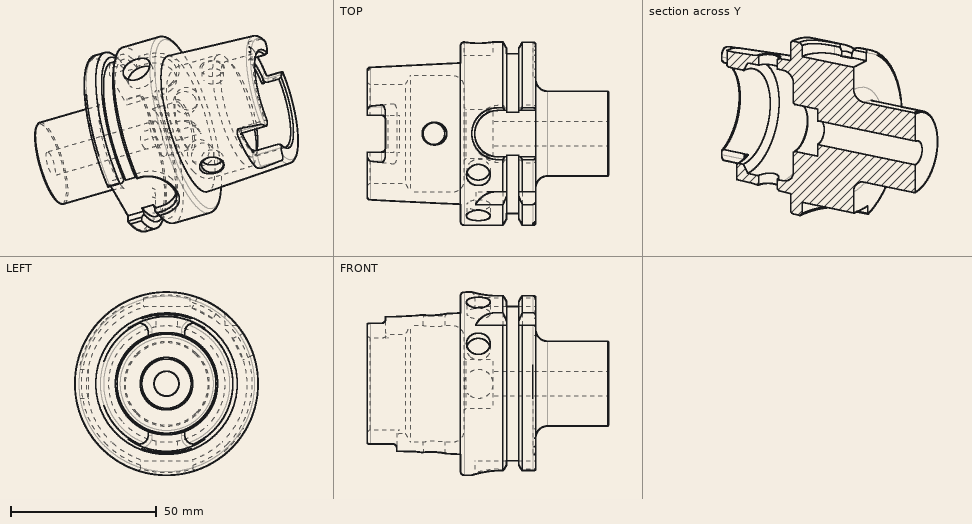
import cadquery as cq
import math

total_length = 83.0
flange_radius = 63.0 / 2
flange_start = 32.0
flange_end = 57.9
flange_front_round = 1.3
flange_rear_round = 1.0

taper_nose_radius = 22.75
taper_root_radius = 24.3
taper_nose_round = 1.2

shank_radius = 14.6
shank_root_fillet = 4.0
shank_chamfer = 0.4

groove_radius = 27.55
groove_start = 47.9
groove_end = 52.0
groove_flank_width = 1.25
groove_flank_angle = 60.0

bore_radius = 17.0
bore_chamfer_height = 0.6
bore_chamfer_length = 0.8
clamp_edge_depth = 13.0
clamp_face_angle = 30.0
undercut_radius = 20.0
cavity_floor = 33.2
cavity_floor_fillet = 4.0
coolant_bore_radius = 8.5
coolant_bore_depth = 10.0
coolant_bore_chamfer = 0.6
through_hole_radius = 4.2

drive_slot_width = 12.6
drive_slot_round = 3.0
drive_slot_shoulder = 20.75
drive_slot_floor_fillet = 1.3
upper_drive_slot_depth = 6.2
lower_drive_slot_depth = 10.1

access_hole_position = 22.9
access_hole_radius = 3.7
access_hole_chamfer = 0.5

keyway_start = 36.9
keyway_floor = 26.6
keyway_chamfer = 1.0
upper_keyway_width = 15.9
lower_keyway_width = 17.9

notch_offset = 20.0
notch_straight_start = 44.0
notch_end_radius = 7.5

flange_hole_position = 38.2
pin_hole_radius = 4.1
pin_hole_floor_radius = 27.1
pin_hole_angles = (26.0, 63.0)
chip_pocket_radius = 5.0
chip_pocket_depth = 4.6

overshoot = 4.15


def revolve_about_x(profile):
    return profile.close().revolve(360, (0, 0, 0), (1, 0, 0))


def cylinder_along_x(start, end, radius):
    return cq.Workplane("YZ", origin=(start, 0, 0)).circle(radius).extrude(end - start)


def turned_taper():
    taper = revolve_about_x(
        cq.Workplane("XY")
        .lineTo(0, taper_nose_radius)
        .lineTo(flange_start, taper_root_radius)
        .lineTo(flange_start, 0)
    )
    return taper.faces("<X").edges().fillet(taper_nose_round)


def turned_flange():
    blank = cylinder_along_x(flange_start, flange_end, flange_radius)
    blank = blank.faces("<X").edges().fillet(flange_front_round)
    return blank.faces(">X").edges().fillet(flange_rear_round)


def turned_shank():
    shank = cylinder_along_x(flange_start, total_length, shank_radius)
    shank = shank.faces(">X").edges().chamfer(shank_chamfer)
    root = revolve_about_x(
        cq.Workplane("XY")
        .moveTo(flange_end, 0)
        .lineTo(flange_end, shank_radius + shank_root_fillet)
        .radiusArc((flange_end + shank_root_fillet, shank_radius), -shank_root_fillet)
        .lineTo(flange_end + shank_root_fillet, 0)
    )
    return shank.union(root)


def gripper_groove():
    flank_slope = math.tan(math.radians(groove_flank_angle))
    mouth_radius = flange_radius + overshoot
    flank_foot_radius = flange_radius - groove_flank_width * flank_slope
    flank_reach = (mouth_radius - flank_foot_radius) / flank_slope
    return revolve_about_x(
        cq.Workplane("XY")
        .moveTo(groove_start, groove_radius)
        .lineTo(groove_start, flank_foot_radius)
        .lineTo(groove_start - flank_reach, mouth_radius)
        .lineTo(groove_end + flank_reach, mouth_radius)
        .lineTo(groove_end, flank_foot_radius)
        .lineTo(groove_end, groove_radius)
    )


def clamping_cavity():
    clamp_face_length = (undercut_radius - bore_radius) * math.tan(math.radians(clamp_face_angle))
    cavity = revolve_about_x(
        cq.Workplane("XY")
        .lineTo(0, bore_radius + bore_chamfer_height)
        .lineTo(bore_chamfer_length, bore_radius)
        .lineTo(clamp_edge_depth, bore_radius)
        .lineTo(clamp_edge_depth + clamp_face_length, undercut_radius)
        .lineTo(cavity_floor, undercut_radius)
        .lineTo(cavity_floor, 0)
    )
    return cavity.faces(">X").edges().fillet(cavity_floor_fillet)


def coolant_bore():
    bore = revolve_about_x(
        cq.Workplane("XY")
        .moveTo(cavity_floor, 0)
        .lineTo(cavity_floor, coolant_bore_radius + coolant_bore_chamfer)
        .lineTo(cavity_floor + coolant_bore_chamfer, coolant_bore_radius)
        .lineTo(cavity_floor + coolant_bore_depth, coolant_bore_radius)
        .lineTo(cavity_floor + coolant_bore_depth, 0)
    )
    return bore.union(cylinder_along_x(cavity_floor, total_length, through_hole_radius))


def drive_slot(depth):
    """Slot with walls rounded out to flat shoulders and a chamfer where its floor meets the bore."""
    half_width = drive_slot_width / 2
    shoulder_edge = half_width + drive_slot_round
    round_start = drive_slot_shoulder - drive_slot_round
    side = shoulder_edge + overshoot
    bottom = bore_radius / 2
    top = taper_root_radius + overshoot
    slot = (
        cq.Workplane("YZ", origin=(-overshoot, 0, 0))
        .moveTo(-half_width, bottom)
        .lineTo(-half_width, round_start)
        .radiusArc((-shoulder_edge, drive_slot_shoulder), -drive_slot_round)
        .lineTo(-side, drive_slot_shoulder)
        .lineTo(-side, top)
        .lineTo(side, top)
        .lineTo(side, drive_slot_shoulder)
        .lineTo(shoulder_edge, drive_slot_shoulder)
        .radiusArc((half_width, round_start), -drive_slot_round)
        .lineTo(half_width, bottom)
        .close()
        .extrude(depth + overshoot)
    )
    slot = slot.faces(">X").edges("not(<Z or >Z or <Y or >Y)").fillet(drive_slot_floor_fillet)
    floor_chamfer = revolve_about_x(
        cq.Workplane("XY")
        .moveTo(depth, 0)
        .lineTo(depth, bore_radius + bore_chamfer_height)
        .lineTo(depth + bore_chamfer_length, bore_radius)
        .lineTo(depth + bore_chamfer_length, 0)
    )
    slot_span = cq.Workplane("XY").box(
        total_length, drive_slot_width, flange_radius, centered=(True, True, False)
    )
    return slot.union(floor_chamfer.intersect(slot_span))


def turned_half_way_round(shape):
    return shape.rotate((0, 0, 0), (1, 0, 0), 180)


def access_hole():
    taper_slope = (taper_root_radius - taper_nose_radius) / flange_start
    surface_height = taper_nose_radius + taper_slope * access_hole_position
    mouth_radius = access_hole_radius + access_hole_chamfer + overshoot
    half_hole = (
        cq.Workplane("XZ", origin=(access_hole_position, 0, 0))
        .lineTo(access_hole_radius, 0)
        .lineTo(access_hole_radius, surface_height - access_hole_chamfer)
        .lineTo(mouth_radius, surface_height + overshoot)
        .lineTo(0, surface_height + overshoot)
        .close()
        .revolve(360, (0, 0, 0), (0, 1, 0))
    )
    return half_hole.union(turned_half_way_round(half_hole))


def keyway(width):
    """Round-ended keyway above the floor plane; its end is tangent to the start position."""
    half_width = width / 2
    end_center = keyway_start + half_width
    far_end = flange_end + 2 * overshoot
    return (
        cq.Workplane("XY", origin=(0, 0, keyway_floor))
        .moveTo(far_end, half_width)
        .lineTo(end_center, half_width)
        .threePointArc((keyway_start, 0), (end_center, -half_width))
        .lineTo(far_end, -half_width)
        .close()
        .extrude(flange_radius)
    )


def keyed_flange_envelope():
    """Cylinder that bounds the flange, with the upper and lower keyways cut and their rims chamfered."""
    envelope = cylinder_along_x(flange_start, flange_end + overshoot, flange_radius)
    envelope = envelope.cut(keyway(upper_keyway_width))
    envelope = envelope.cut(turned_half_way_round(keyway(lower_keyway_width)))
    rim_height = (keyway_floor + flange_radius) / 2
    upper_rim = cq.selectors.BoxSelector(
        (0, -flange_radius, rim_height), (total_length, flange_radius, flange_radius)
    )
    lower_rim = cq.selectors.BoxSelector(
        (0, -flange_radius, -rim_height), (total_length, flange_radius, -flange_radius)
    )
    return envelope.edges(upper_rim + lower_rim).chamfer(keyway_chamfer)


def orientation_notch():
    """Square corner cut on the -Y, +Z side that runs out of the rear face and ends in an arc."""
    far_end = flange_end + overshoot
    arc_center_height = math.sqrt(flange_radius**2 - notch_offset**2) - notch_end_radius
    top = arc_center_height + notch_end_radius
    rise = notch_offset - arc_center_height
    arc_start = notch_straight_start - math.sqrt(notch_end_radius**2 - rise**2)
    return (
        cq.Workplane("XZ", origin=(0, -notch_offset, 0))
        .moveTo(arc_start, notch_offset)
        .radiusArc((notch_straight_start, top), notch_end_radius)
        .lineTo(far_end, top)
        .lineTo(far_end, notch_offset)
        .close()
        .extrude(flange_radius)
    )


def pin_hole(angle):
    """Flat-bottomed radial hole; the angle is measured from -Y toward +Z."""
    hole = (
        cq.Workplane("XZ", origin=(flange_hole_position, -pin_hole_floor_radius, 0))
        .circle(pin_hole_radius)
        .extrude(flange_radius)
    )
    return hole.rotate((0, 0, 0), (1, 0, 0), -angle)


def chip_pocket():
    return (
        cq.Workplane("XZ", origin=(flange_hole_position, flange_radius, 0))
        .circle(chip_pocket_radius)
        .extrude(chip_pocket_depth)
    )


flange = turned_flange().intersect(keyed_flange_envelope())
flange = flange.cut(gripper_groove()).cut(orientation_notch()).cut(chip_pocket())
for pin_hole_angle in pin_hole_angles:
    flange = flange.cut(pin_hole(pin_hole_angle))

result = turned_taper().union(flange).union(turned_shank())
result = result.cut(clamping_cavity()).cut(coolant_bore()).cut(access_hole())
result = result.cut(drive_slot(upper_drive_slot_depth))
result = result.cut(turned_half_way_round(drive_slot(lower_drive_slot_depth)))